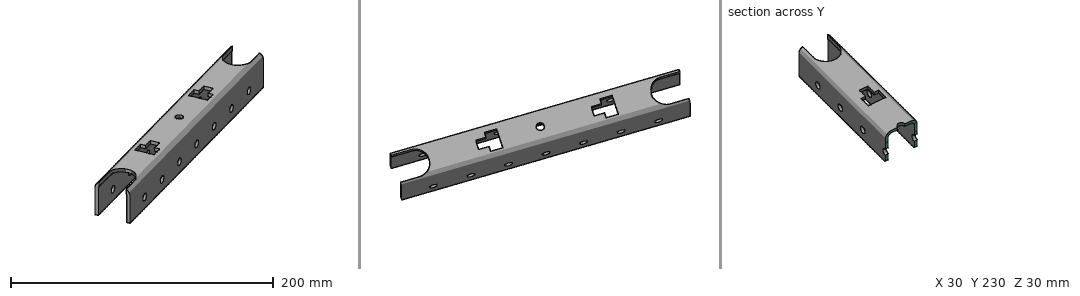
import cadquery as cq

length = 230.0
width = 30.0
height = 30.0
wall = 3.0
bend_radius = 6.2

notch_width = 23.0
notch_depth = 26.5

slot_pitch = 92.0
slot_start = 32.2
slot_head_width = 16.0
slot_head_length = 9.7
slot_neck_width = 7.8
slot_neck_length = 8.3

web_hole_diameter = 6.2
side_hole_diameter = 6.0
side_hole_count = 7
side_hole_pitch = 30.0
side_hole_height = 10.0

web_underside = height - wall


def channel():
    """U-section with concentric bends and its free edges on Z = 0."""
    outside = (
        cq.Workplane("XY")
        .box(width, length, height, centered=(True, True, False))
        .edges("|Y and >Z")
        .fillet(bend_radius)
    )
    inside = (
        cq.Workplane("XY")
        .box(width - 2 * wall, length, web_underside, centered=(True, True, False))
        .edges("|Y and >Z")
        .fillet(bend_radius - wall)
    )
    return outside.cut(inside)


def end_notch(end):
    """Round-bottomed notch cutter; end is +1 or -1 for the end of the channel along Y."""
    radius = notch_width / 2
    end_y = end * length / 2
    arc_start_y = end_y - end * (notch_depth - radius)
    return (
        cq.Workplane("XY")
        .moveTo(-radius, end_y)
        .lineTo(-radius, arc_start_y)
        .threePointArc((0, end_y - end * notch_depth), (radius, arc_start_y))
        .lineTo(radius, end_y)
        .close()
        .extrude(height)
    )


def t_slot(start_y):
    """T-shaped cutter: wide head from start_y, then a narrow neck toward +Y."""
    head = cq.Workplane("XY").box(
        slot_head_width, slot_head_length, height, centered=(True, False, False)
    )
    neck = cq.Workplane("XY").box(
        slot_neck_width, slot_head_length + slot_neck_length, height, centered=(True, False, False)
    )
    return head.union(neck).translate((0, start_y, 0))


def side_holes():
    """Row of cutters passing through both side walls."""
    return (
        cq.Workplane("YZ")
        .center(0, side_hole_height)
        .rarray(side_hole_pitch, 2.3, side_hole_count, 1)
        .circle(side_hole_diameter / 2)
        .extrude(width, both=True)
    )


result = channel()
for end in (-1, 1):
    result = result.cut(end_notch(end))
for start_y in (slot_start, slot_start - slot_pitch):
    result = result.cut(t_slot(start_y))
web_hole = cq.Workplane("XY").circle(web_hole_diameter / 2).extrude(height)
result = result.cut(web_hole).cut(side_holes())